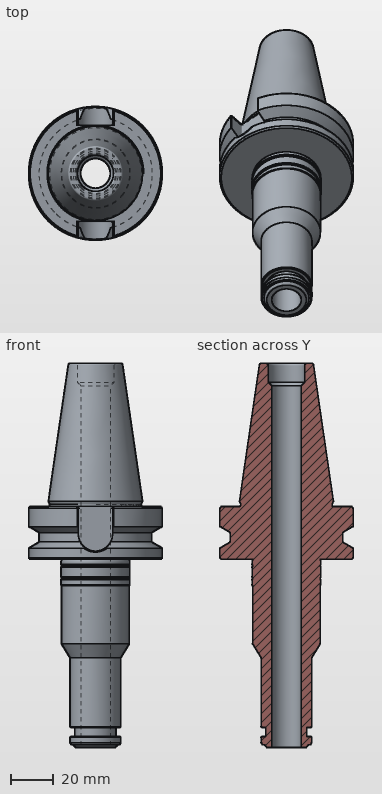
import cadquery as cq
import math


gauge_diameter = 44.55
taper_ratio = 7 / 24
taper_top_z = 65.4
taper_tip_round = 1.0
relief_top_z = 0.4
relief_diameter = 43.3
relief_fillet = 1.1

flange_diameter = 63.0
flange_top_z = -2.0
flange_bottom_z = -27.0
flange_chamfer = 0.8
groove_diameter = 53.2
groove_upper_edge_z = -11.5
groove_lower_edge_z = -21.6
groove_angle = math.radians(30)

slot_width = 16.1
slot_floor_distance = 22.6
slot_arc_center_z = -15.0
slot_top_chamfer = 0.8
slot_rim_chamfer = 0.5
slot_floor_fillet = 0.5

total_length = 180.9
bottom_z = taper_top_z - total_length
collar_diameter = 32.5
collar_bottom_z = -39.0
barrel_diameter = 32.0
barrel_bottom_z = -66.7
nose_diameter = 24.0
nose_cone_bottom_z = -73.25
ring_groove_depth = 0.25
ring_groove_half_width = 0.7
ring_groove_centers = (-29.9, -35.9)
root_land_bottom_z = -28.0

button_neck_diameter = 19.5
button_neck_top_z = -106.1
button_neck_bottom_z = -110.2
nose_edge_chamfer = 0.5
button_bottom_z = -114.2
button_lower_inset = 0.5
button_lower_bevel_height = 1.1
button_tip_diameter = 21.2
button_tip_chamfer = button_bottom_z - bottom_z

bore_diameter = 13.84
entry_diameter = 17.0
entry_depth = 9.0
mouth_diameter = 19.5


def taper_radius(z):
    return (gauge_diameter - z * taper_ratio) / 2


def revolve_about_z(outline):
    return outline.close().revolve(360, (0, 0), (0, 1))


def ring_groove_points(center_z):
    """Shallow V-shaped ring in the collar, listed from top to bottom."""
    collar_radius = collar_diameter / 2
    return [
        (collar_radius, center_z + ring_groove_half_width),
        (collar_radius - ring_groove_depth, center_z),
        (collar_radius, center_z - ring_groove_half_width),
    ]


def flange_points():
    """Outline of the flange and its V-groove, from the top face to the bottom face."""
    flange_radius = flange_diameter / 2
    groove_radius = groove_diameter / 2
    groove_rise = (flange_radius - groove_radius) * math.tan(groove_angle)
    return [
        (flange_radius - flange_chamfer, flange_top_z),
        (flange_radius, flange_top_z - flange_chamfer),
        (flange_radius, groove_upper_edge_z),
        (groove_radius, groove_upper_edge_z - groove_rise),
        (groove_radius, groove_lower_edge_z + groove_rise),
        (flange_radius, groove_lower_edge_z),
        (flange_radius, flange_bottom_z + flange_chamfer),
        (flange_radius - flange_chamfer, flange_bottom_z),
    ]


def collar_and_barrel_points():
    """Outline from the underside of the flange to the top of the nose."""
    collar_radius = collar_diameter / 2
    barrel_radius = barrel_diameter / 2
    points = [(barrel_radius, flange_bottom_z), (collar_radius, root_land_bottom_z)]
    for center_z in ring_groove_centers:
        points += ring_groove_points(center_z)
    points += [
        (collar_radius, collar_bottom_z),
        (barrel_radius, collar_bottom_z - (collar_radius - barrel_radius)),
        (barrel_radius, barrel_bottom_z),
    ]
    return points


def nose_points():
    """Outline of the nose, the retaining neck and the button, down to the bottom face."""
    nose_radius = nose_diameter / 2
    neck_radius = button_neck_diameter / 2
    tip_radius = button_tip_diameter / 2
    return [
        (nose_radius, nose_cone_bottom_z),
        (nose_radius, button_neck_top_z + nose_edge_chamfer),
        (nose_radius - nose_edge_chamfer, button_neck_top_z),
        (neck_radius, button_neck_top_z),
        (neck_radius, button_neck_bottom_z),
        (nose_radius - nose_edge_chamfer, button_neck_bottom_z),
        (nose_radius, button_neck_bottom_z - nose_edge_chamfer),
        (nose_radius, button_bottom_z + button_lower_bevel_height),
        (nose_radius - button_lower_inset, button_bottom_z),
        (tip_radius, button_bottom_z),
        (tip_radius - button_tip_chamfer, bottom_z),
        (0, bottom_z),
    ]


def make_body():
    """Solid of revolution with the whole outer outline, drawn from top to bottom."""
    taper_angle = math.atan(taper_ratio / 2)
    round_reach = taper_tip_round * math.tan((math.pi / 2 - taper_angle) / 2)
    round_start = (taper_radius(taper_top_z) - round_reach, taper_top_z)
    round_end_z = taper_top_z - round_reach * math.cos(taper_angle)
    relief_radius = relief_diameter / 2
    outline = (
        cq.Workplane("XZ")
        .moveTo(0, taper_top_z)
        .lineTo(*round_start)
        .tangentArcPoint((taper_radius(round_end_z), round_end_z), relative=False)
        .lineTo(taper_radius(relief_top_z), relief_top_z)
        .lineTo(relief_radius, flange_top_z + relief_fillet)
        .tangentArcPoint((relief_radius + relief_fillet, flange_top_z), relative=False)
    )
    for point in flange_points() + collar_and_barrel_points() + nose_points():
        outline = outline.lineTo(*point)
    return revolve_about_z(outline)


def make_bore():
    """Through bore with a rounded mouth and a wider entry at the taper end."""
    bore_radius = bore_diameter / 2
    entry_radius = entry_diameter / 2
    mouth_radius = mouth_diameter / 2
    mouth_round = mouth_radius - entry_radius
    entry_bottom_z = taper_top_z - entry_depth
    outline = (
        cq.Workplane("XZ")
        .moveTo(0, bottom_z)
        .lineTo(bore_radius, bottom_z)
        .lineTo(bore_radius, entry_bottom_z - (entry_radius - bore_radius))
        .lineTo(entry_radius, entry_bottom_z)
        .lineTo(entry_radius, taper_top_z - mouth_round)
        .tangentArcPoint((mouth_radius, taper_top_z), relative=False)
        .lineTo(0, taper_top_z)
    )
    return revolve_about_z(outline)


def make_drive_slot():
    """Cutter for the round-bottomed slot at -Y, with a rounded floor edge and beveled top edges."""
    half_width = slot_width / 2
    slot_length = flange_diameter / 2 - slot_floor_distance
    channel = (
        cq.Workplane("XZ", origin=(0, -slot_floor_distance, 0))
        .moveTo(-half_width, flange_top_z)
        .lineTo(-half_width, slot_arc_center_z)
        .threePointArc((0, slot_arc_center_z - half_width), (half_width, slot_arc_center_z))
        .lineTo(half_width, flange_top_z)
        .close()
        .extrude(slot_length)
        .faces(">Y")
        .edges("not >Z")
        .fillet(slot_floor_fillet)
    )
    top_bevel = (
        cq.Workplane("XZ", origin=(0, -slot_floor_distance, 0))
        .moveTo(-half_width - slot_top_chamfer, flange_top_z)
        .lineTo(half_width + slot_top_chamfer, flange_top_z)
        .lineTo(half_width, flange_top_z - slot_top_chamfer)
        .lineTo(-half_width, flange_top_z - slot_top_chamfer)
        .close()
        .extrude(slot_length)
    )
    return channel.union(top_bevel)


def bevel_slot_rims(slotted_body):
    """Chamfer the edges where the drive slots break through the flange rim."""
    half_width = slot_width / 2
    rim_distance = math.sqrt((flange_diameter / 2) ** 2 - half_width**2)
    margin = 0.1

    def is_rim_edge(edge):
        center = edge.Center()
        within_slot = abs(center.x) < half_width + margin
        at_rim = abs(center.y) > rim_distance - margin
        below_top_bevel = center.z < flange_top_z - slot_top_chamfer
        return within_slot and at_rim and below_top_bevel

    rim_edges = [edge for edge in slotted_body.edges().vals() if is_rim_edge(edge)]
    return slotted_body.newObject(rim_edges).chamfer(slot_rim_chamfer)


drive_slot = make_drive_slot()
body = make_body().cut(make_bore())
slotted_body = body.cut(drive_slot).cut(drive_slot.mirror("XZ"))
result = bevel_slot_rims(slotted_body)